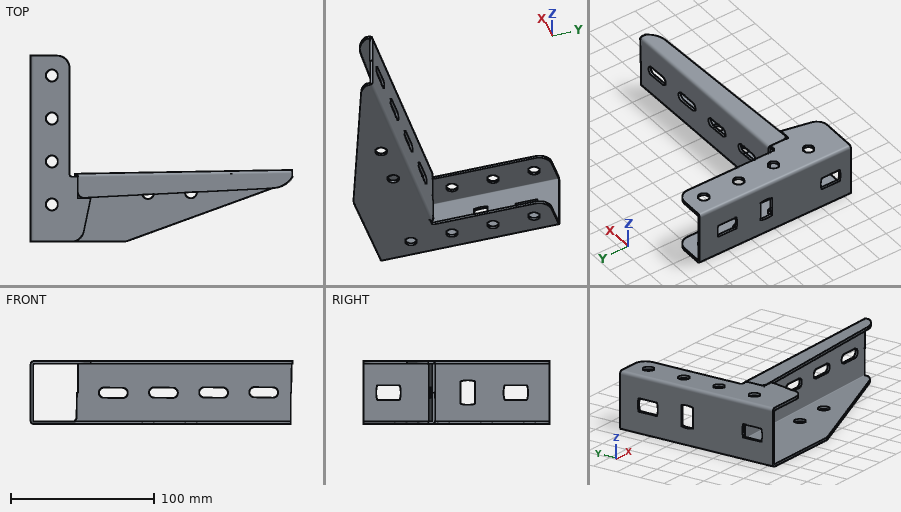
import cadquery as cq
import math

height = 44.14
sheet = 2.0
inner_bend = 0.5
outer_bend = sheet + inner_bend
mid_height = height / 2
relief_radius = 1.5
foot_rise = 1.5

leg_length = 130.0
leg_width = 27.4
leg_corner_radius = 9.0
leg_hole_diameter = 8.2
leg_hole_x = 14.9
leg_hole_first_y = 26.0
leg_hole_pitch = 30.0
leg_hole_count = 4

leg_slot_length = 17.0
leg_slot_width = 10.0
leg_slot_bulge = 0.7
leg_slot_corner_radius = 0.5
level_slot_ys = (17.5, 106.4)
upright_slot_y = 72.9

tab_back_y = 45.5
tab_notch_x = 32.9
tab_notch_y = 30.3
tab_side_x = 42.0
tab_front_x = 35.7
tab_corner_radius = 9.0

skew = 1.0
skew_slope = math.tan(math.radians(skew))
arm_back_y = 47.55
arm_start_x = 32.0
arm_end_x = 181.7
arm_foot_x = 31.0
arm_gap = 0.2

flange_front_y = 30.5
flange_tip_y = 45.3
flange_tip_x = 182.9
flange_taper = 2.87
flange_corner_radius = 4.0
flange_round_start_x = 169.5

plate_overlap_x = leg_width / 2
plate_corner_x = 66.5
plate_corner_radius = 10.0
plate_slope = 20.0
plate_round_start_x = 174.8
plate_hole_diameter = 8.2
plate_hole_xs = (82.0, 112.0)
plate_hole_y = 34.0

arm_slot_length = 20.0
arm_slot_width = 7.0
arm_slot_first_x = 57.8
arm_slot_pitch = 35.0
arm_slot_count = 4
arm_slot_rise = 0.11


def arm_back_at(x):
    """Y of the arm's back face at a given X."""
    return arm_back_y + (x - arm_start_x) * skew_slope


def channel(depth, length):
    """C channel along Y with its web on the YZ plane and its flanges towards +X."""
    outer = cq.Workplane("XY").box(depth, length, height, centered=False)
    outer = outer.edges("|Y and <X").fillet(outer_bend)
    inner = cq.Workplane("XY").box(depth, length, height - 2 * sheet, centered=False)
    inner = inner.edges("|Y and <X").fillet(inner_bend)
    return outer.cut(inner.translate((sheet, 0, sheet)))


def upper_layer(outline):
    """Prism over the upper half of the part."""
    return outline.extrude(height / 2).translate((0, 0, mid_height))


def lower_layer(outline):
    """Prism over the lower half of the part."""
    return outline.extrude(height / 2)


def make_leg():
    strip = cq.Workplane("XY").box(leg_width, leg_length, height, centered=False)
    strip = strip.edges("|Z and >X and >Y").fillet(leg_corner_radius)
    tab = (
        cq.Workplane("XY")
        .moveTo(0, 0)
        .lineTo(tab_front_x, 0)
        .lineTo(tab_side_x, tab_notch_y)
        .lineTo(tab_notch_x, tab_notch_y)
        .lineTo(tab_notch_x, tab_back_y)
        .lineTo(0, tab_back_y)
        .close()
    )
    tab = upper_layer(tab)
    front_corner = cq.selectors.NearestToPointSelector((tab_front_x, 0, height * 3 / 4))
    tab = tab.edges(front_corner).fillet(tab_corner_radius)
    base = lower_layer(cq.Workplane("XY").rect(tab_notch_x, tab_back_y, centered=False))
    outline = strip.union(tab).union(base)
    inside_corner = cq.selectors.NearestToPointSelector((leg_width, tab_back_y, mid_height))
    outline = outline.edges(inside_corner).fillet(relief_radius)
    return channel(tab_side_x, leg_length).intersect(outline)


def make_arm():
    tip_dx = (arm_back_at(flange_tip_x) - flange_tip_y) * skew_slope
    taper = math.tan(math.radians(flange_taper))
    round_start_y = flange_front_y + (flange_round_start_x - tab_notch_x) * taper
    start_x = tab_notch_x + arm_gap
    back = arm_back_at(flange_tip_x) + sheet
    flange = (
        cq.Workplane("XY")
        .moveTo(start_x, flange_front_y)
        .lineTo(flange_round_start_x, round_start_y)
        .tangentArcPoint((flange_tip_x, flange_tip_y), relative=False)
        .lineTo(flange_tip_x - tip_dx, back)
        .lineTo(start_x, back)
        .close()
    )
    flange = upper_layer(flange)
    flange = flange.edges("|Z and <X and <Y").fillet(flange_corner_radius)

    slope = math.tan(math.radians(plate_slope))
    plate = (
        cq.Workplane("XY")
        .moveTo(plate_overlap_x, 0)
        .lineTo(plate_corner_x, 0)
        .lineTo(plate_round_start_x, (plate_round_start_x - plate_corner_x) * slope)
        .tangentArcPoint((arm_end_x, flange_tip_y), relative=False)
        .lineTo(arm_end_x, back)
        .lineTo(arm_foot_x, back)
        .lineTo(arm_foot_x, tab_back_y)
        .lineTo(plate_overlap_x, tab_back_y)
        .close()
    )
    plate = lower_layer(plate)
    corner = cq.selectors.NearestToPointSelector((plate_corner_x, 0, height / 4))
    plate = plate.edges(corner).fillet(plate_corner_radius)

    web_lean = (height - sheet) * skew_slope
    web = (
        cq.Workplane("XZ")
        .moveTo(0, 0)
        .lineTo(arm_end_x, 0)
        .lineTo(arm_end_x, sheet)
        .lineTo(arm_end_x + web_lean, height - sheet)
        .lineTo(flange_tip_x, height - sheet)
        .lineTo(flange_tip_x, height)
        .lineTo(start_x, height)
        .lineTo(arm_start_x + web_lean, height - sheet)
        .lineTo(arm_start_x, outer_bend + foot_rise)
        .lineTo(arm_foot_x, outer_bend)
        .lineTo(arm_foot_x, sheet)
        .lineTo(0, sheet)
        .close()
        .extrude(-back)
    )
    reach = 2 * flange_tip_x
    blank = channel(arm_back_y * 2, reach).rotate((0, 0, 0), (0, 0, 1), skew - 90)
    blank = blank.translate((0, arm_back_at(0), 0))
    return blank.intersect(flange.union(plate)).intersect(web)


def leg_slot():
    half_width = leg_slot_width / 2
    half_side = leg_slot_length / 2 - leg_slot_bulge
    slot = (
        cq.Workplane("YZ")
        .moveTo(-half_side, -half_width)
        .lineTo(half_side, -half_width)
        .threePointArc((leg_slot_length / 2, 0), (half_side, half_width))
        .lineTo(-half_side, half_width)
        .threePointArc((-leg_slot_length / 2, 0), (-half_side, -half_width))
        .close()
        .extrude(outer_bend)
    )
    return slot.edges("|X").fillet(leg_slot_corner_radius)


def leg_slots():
    slots = leg_slot().rotate((0, 0, 0), (1, 0, 0), 90).translate((0, upright_slot_y, mid_height))
    for y in level_slot_ys:
        slots = slots.union(leg_slot().translate((0, y, mid_height)))
    return slots


def leg_holes():
    places = [(leg_hole_x, leg_hole_first_y + i * leg_hole_pitch) for i in range(leg_hole_count)]
    return cq.Workplane("XY").pushPoints(places).circle(leg_hole_diameter / 2).extrude(height)


def plate_holes():
    places = [(x, plate_hole_y + (x - plate_hole_xs[0]) * skew_slope) for x in plate_hole_xs]
    return cq.Workplane("XY").pushPoints(places).circle(plate_hole_diameter / 2).extrude(sheet)


def arm_slots():
    middle = (arm_slot_count - 1) / 2
    places = [
        (arm_slot_first_x + i * arm_slot_pitch, mid_height + (i - middle) * arm_slot_rise)
        for i in range(arm_slot_count)
    ]
    slots = cq.Workplane("XZ").pushPoints(places).slot2D(arm_slot_length, arm_slot_width, -skew)
    return slots.extrude(-2 * arm_back_y)


result = make_leg().union(make_arm())
result = result.cut(leg_holes()).cut(leg_slots()).cut(plate_holes()).cut(arm_slots())